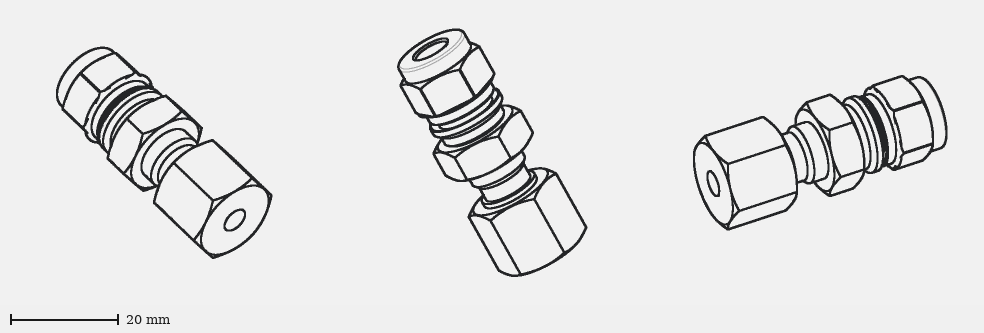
import cadquery as cq
import math

total_length = 45.28

collar_diameter = 13.9
collar_edge_radius = 0.42
collar_end = 2.97
nut_across_flats = 14.4
nut_turned_diameter = 16.53
nut_hex_end = 9.98
nut_back_cone_end = 10.6
nut_skirt_diameter = 13.6
nut_skirt_end = 12.55
nut_skirt_chamfer = 0.25

gap_diameter = 11.1
gap_end = 14.1
gap_taper_length = 0.5
undercut_diameter = 10.1
ring_diameter = 14.6
ring_start = 13.55
ring_end = 14.75
ring_recess_diameter = 14.1
ring_recess_depth = 2.0
step_diameter = 12.6
step_start = 15.7
step_chamfer = 0.35

large_across_flats = 15.9
corner_clearance = 0.5
body_hex_start = 17.75
body_hex_end = 24.1
body_hex_turn = 0.63
female_hex_start = 31.8
hex_front_face_diameter = 15.7
hex_back_face_diameter = 15.9

shoulder_diameter = 11.1
shoulder_end = 27.03
neck_diameter = 9.4
neck_start = 28.0
neck_end = 30.85

through_bore_diameter = 4.83
tube_bore_diameter = 6.55
tube_bore_depth = 15.0
tube_bore_chamfer = 0.4

corner_slope = math.tan(math.radians(30))


def revolve(profile):
    """Revolve a closed (x, radius) outline about the X axis."""
    return cq.Workplane("XY").polyline(profile).close().revolve(360, (0, 0, 0), (1, 0, 0))


def cylinder(start, end, diameter):
    return cq.Workplane("YZ", origin=(start, 0, 0)).circle(diameter / 2).extrude(end - start)


def hex_prism(start, end, across_flats):
    """Hex bar along X with two flats square to Z."""
    across_corners = across_flats / math.cos(math.radians(30))
    return cq.Workplane("YZ", origin=(start, 0, 0)).polygon(6, across_corners).extrude(end - start)


def make_nut():
    """Turned blank with flats milled between the collar and the cone behind the hex."""
    collar_radius = collar_diameter / 2
    turned_radius = nut_turned_diameter / 2
    skirt_radius = nut_skirt_diameter / 2
    blank = revolve([
        (0, 0),
        (0, collar_radius),
        (collar_end, collar_radius),
        (collar_end + (turned_radius - collar_radius) * corner_slope, turned_radius),
        (nut_back_cone_end - (turned_radius - skirt_radius) * corner_slope, turned_radius),
        (nut_back_cone_end, skirt_radius),
        (nut_skirt_end - nut_skirt_chamfer, skirt_radius),
        (nut_skirt_end, skirt_radius - nut_skirt_chamfer),
        (nut_skirt_end, 0),
    ])
    blank = blank.faces("<X").edges().fillet(collar_edge_radius)
    outside_flats = cylinder(collar_end, nut_hex_end, 2 * nut_turned_diameter).cut(
        hex_prism(collar_end, nut_hex_end, nut_across_flats)
    )
    return blank.cut(outside_flats)


def make_stem():
    """Turned body from the nut to the female-end hex."""
    gap_radius = gap_diameter / 2
    undercut_radius = undercut_diameter / 2
    ring_radius = ring_diameter / 2
    step_radius = step_diameter / 2
    shoulder_radius = shoulder_diameter / 2
    neck_radius = neck_diameter / 2
    return revolve([
        (nut_skirt_end, 0),
        (nut_skirt_end, gap_radius),
        (gap_end, gap_radius),
        (gap_end + gap_taper_length, undercut_radius),
        (ring_start + ring_recess_depth, undercut_radius),
        (ring_start, ring_recess_diameter / 2),
        (ring_start, ring_radius),
        (ring_end, ring_radius),
        (step_start, step_radius),
        (body_hex_start - step_chamfer, step_radius),
        (body_hex_start, step_radius - step_chamfer),
        (body_hex_start, shoulder_radius),
        (shoulder_end, shoulder_radius),
        (neck_start, neck_radius),
        (neck_end, neck_radius),
        (neck_end, shoulder_radius),
        (female_hex_start, shoulder_radius),
        (female_hex_start, 0),
    ])


def make_large_hex(start, end):
    """Hex bar with its corners cut back to a round face at each end."""
    outer_radius = large_across_flats / math.sqrt(3) + corner_clearance
    front_radius = hex_front_face_diameter / 2
    back_radius = hex_back_face_diameter / 2
    envelope = revolve([
        (start, 0),
        (start, front_radius),
        (start + (outer_radius - front_radius) * corner_slope, outer_radius),
        (end - (outer_radius - back_radius) * corner_slope, outer_radius),
        (end, back_radius),
        (end, 0),
    ])
    return hex_prism(start, end, large_across_flats).intersect(envelope)


def make_bores():
    """Through bore, and the wider tube bore with its entry chamfer."""
    tube_radius = tube_bore_diameter / 2
    tube_bore = revolve([
        (0, 0),
        (0, tube_radius + tube_bore_chamfer),
        (tube_bore_chamfer, tube_radius),
        (tube_bore_depth, tube_radius),
        (tube_bore_depth, 0),
    ])
    return cylinder(0, total_length, through_bore_diameter).union(tube_bore)


body_hex = make_large_hex(body_hex_start, body_hex_end)
body_hex = body_hex.rotate((0, 0, 0), (1, 0, 0), body_hex_turn)
female_hex = make_large_hex(female_hex_start, total_length)
result = make_nut().union(make_stem()).union(body_hex).union(female_hex).cut(make_bores())